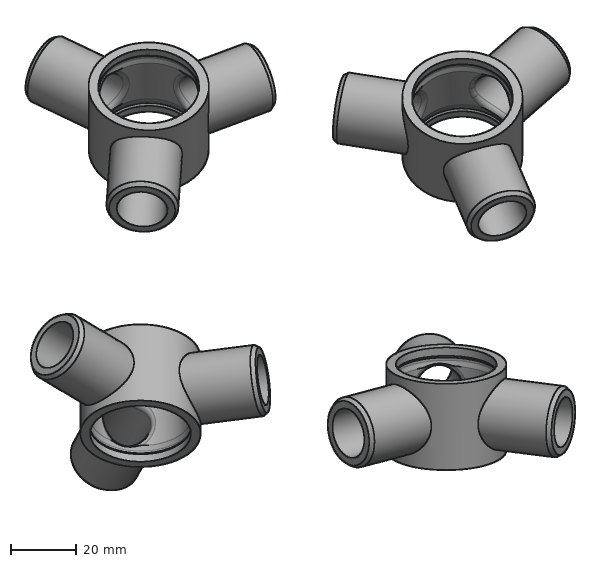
import cadquery as cq

hub_outer_radius = 18.4
hub_bore_radius = 15.4
hub_height = 28.0

groove_offset = 2.7
groove_depth = 0.5
groove_flank_width = 0.8
groove_wall_width = 0.85
groove_taper_width = 1.7

branch_count = 3
first_branch_angle = 90
branch_reach = 38.4
branch_outer_radius = 11.0
branch_bore_radius = 7.75
chamfer_length = 1.4
chamfer_radial = 0.9

port_fillet = 2.0


def radial_cylinder(radius, length, angle):
    """Horizontal cylinder running outward from the hub axis."""
    return cq.Workplane("YZ").circle(radius).extrude(length).rotate((0, 0, 0), (0, 0, 1), angle)


def branch_body(angle):
    """Solid branch with a chamfered outer end."""
    profile = [
        (0, 0),
        (branch_reach, 0),
        (branch_reach, branch_outer_radius - chamfer_radial),
        (branch_reach - chamfer_length, branch_outer_radius),
        (0, branch_outer_radius),
    ]
    body = cq.Workplane("XY").polyline(profile).close().revolve(360, (0, 0, 0), (1, 0, 0))
    return body.rotate((0, 0, 0), (0, 0, 1), angle)


def bore_cavity(angles):
    """Hub bore joined to the branch bores, with rounded junctions."""
    cavity = cq.Workplane("XY").circle(hub_bore_radius).extrude(hub_height / 2, both=True)
    for angle in angles:
        cavity = cavity.union(radial_cylinder(branch_bore_radius, branch_reach, angle))
    return cavity.edges("not (%CIRCLE or %LINE)").fillet(port_fillet)


def groove():
    """Ring removed near the upper end of the hub bore."""
    groove_radius = hub_bore_radius + groove_depth
    flank_start = hub_height / 2 - groove_offset
    wall_start = flank_start - groove_flank_width
    wall_end = wall_start - groove_wall_width
    taper_end = wall_end - groove_taper_width
    return (
        cq.Workplane("XZ")
        .moveTo(0, flank_start)
        .lineTo(hub_bore_radius, flank_start)
        .lineTo(groove_radius, wall_start)
        .lineTo(groove_radius, wall_end)
        .lineTo(hub_bore_radius, taper_end)
        .lineTo(0, taper_end)
        .close()
        .revolve(360, (0, 0, 0), (0, 1, 0))
    )


branch_angles = [first_branch_angle + 360 / branch_count * i for i in range(branch_count)]

result = cq.Workplane("XY").circle(hub_outer_radius).extrude(hub_height / 2, both=True)
for angle in branch_angles:
    result = result.union(branch_body(angle))

result = result.cut(bore_cavity(branch_angles))
upper_groove = groove()
result = result.cut(upper_groove).cut(upper_groove.mirror("XY"))